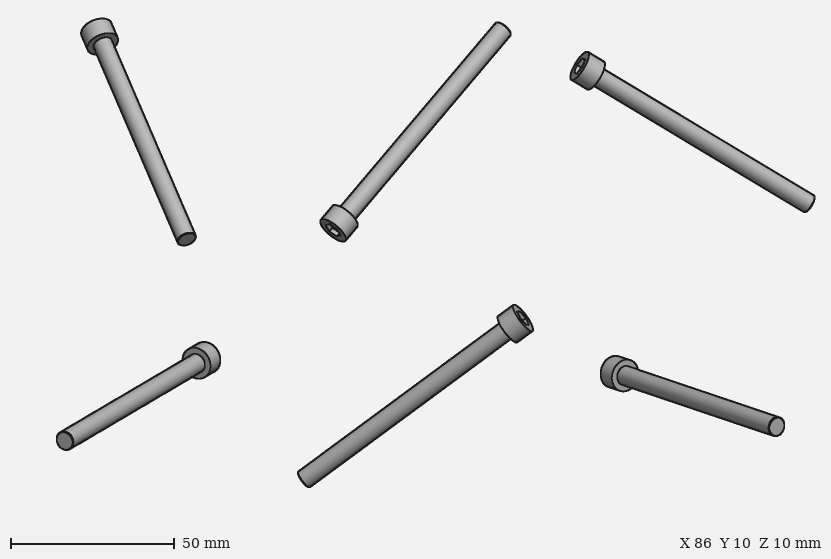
import cadquery as cq
import math

total_length = 86.0
head_diameter = 10.0
head_length = 6.0
shank_diameter = 6.0
tip_chamfer = 0.215

socket_across_flats = 5.0
socket_depth = 1.55
socket_across_corners = socket_across_flats / math.cos(math.pi / 6)

head = cq.Workplane("YZ").circle(head_diameter / 2).extrude(head_length)
shank = (
    cq.Workplane("YZ")
    .circle(shank_diameter / 2)
    .extrude(total_length)
    .faces(">X")
    .chamfer(tip_chamfer)
)

socket = cq.Workplane("YZ").polygon(6, socket_across_corners).extrude(socket_depth)

result = head.union(shank).cut(socket).translate((-total_length / 2, 0, 0))